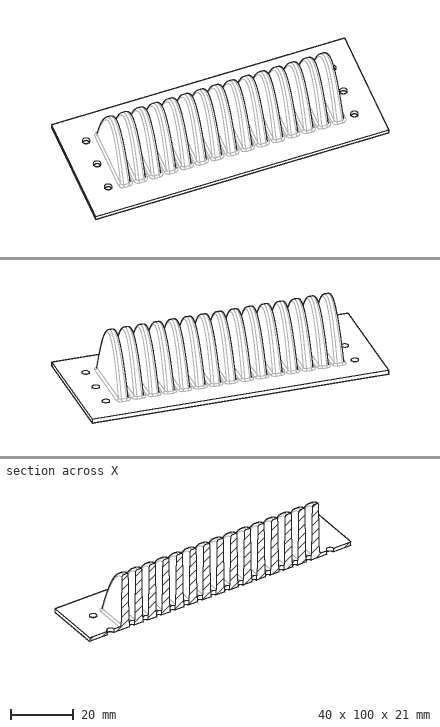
import cadquery as cq
import math

plate_width = 40.0
plate_length = 100.0
plate_thickness = 1.5

total_height = 21.0
fin_height = total_height - plate_thickness
fin_count = 15
fin_pitch = 5.2
fin_base_width = 23.2
fin_base_thickness = 3.2
fin_draft_angle = 1.0
fin_rim_radius = 0.75
fin_foot_radius = fin_rim_radius

end_hole_diameter = 2.4
end_hole_spacing = 10.0
end_hole_margin = 8.0
gap_hole_diameter = 1.7


def make_slab(length):
    """Full-width piece of plate resting on Z = 0, centred on the origin along X and Y."""
    return cq.Workplane("XY").box(plate_width, length, plate_thickness, centered=(True, True, False))


def make_fin():
    """Fin centred at Y = 0, with a parabolic outline and flanks that thin towards the crown."""
    half_width = fin_base_width / 2
    half_base = fin_base_thickness / 2
    half_crown = half_base - fin_height * math.tan(math.radians(fin_draft_angle))

    parabola = (
        cq.Workplane("XZ", origin=(0, half_base, plate_thickness))
        .moveTo(-half_width, 0)
        .bezier([(0, 2 * fin_height), (half_width, 0)], includeCurrent=True)
        .close()
        .extrude(fin_base_thickness)
    )
    drafted_flanks = (
        cq.Workplane("YZ", origin=(-half_width, 0, plate_thickness))
        .polyline([(-half_base, 0), (half_base, 0), (half_crown, fin_height), (-half_crown, fin_height)])
        .close()
        .extrude(fin_base_width)
    )
    return parabola.intersect(drafted_flanks).edges("not %LINE").fillet(fin_rim_radius)


def make_fin_tile():
    """One pitch-long slab carrying a single fin, blended all around the foot."""
    reach_x = (fin_base_width + plate_width) / 4
    reach_y = (fin_base_thickness + fin_pitch) / 4
    foot_edges = cq.selectors.BoxSelector(
        (-reach_x, -reach_y, plate_thickness / 2),
        (reach_x, reach_y, plate_thickness * 3 / 2),
    )
    return make_slab(fin_pitch).union(make_fin()).edges(foot_edges).fillet(fin_foot_radius)


def row_positions(count):
    """Points one fin pitch apart along Y, centred on the plate."""
    return [(0, (index - (count - 1) / 2) * fin_pitch) for index in range(count)]


def end_hole_positions():
    """A row of three holes near each end of the plate."""
    row_y = plate_length / 2 - end_hole_margin
    return [(column * end_hole_spacing, side * row_y) for side in (-1, 1) for column in (-1, 0, 1)]


def make_finned_plate():
    tile = make_fin_tile().val()
    tiles = [tile.translate(cq.Vector(x, y, 0)) for x, y in row_positions(fin_count)]
    return cq.Workplane(make_slab(plate_length).val().fuse(*tiles).clean())


def drill(body, points, diameter):
    """Cut round holes through the plate and any fin foot above it."""
    drills = cq.Workplane("XY").pushPoints(points).circle(diameter / 2).extrude(total_height)
    return body.cut(drills)


finned_plate = make_finned_plate()
plate_with_end_holes = drill(finned_plate, end_hole_positions(), end_hole_diameter)
result = drill(plate_with_end_holes, row_positions(fin_count - 1), gap_hole_diameter)